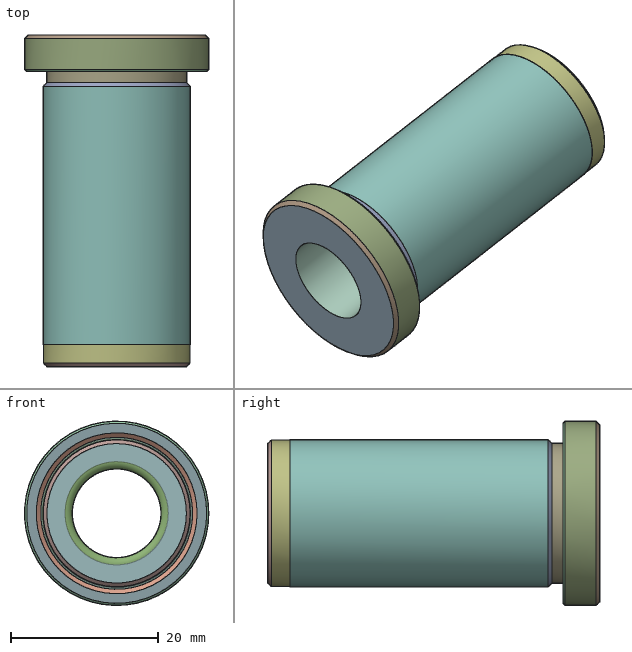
import cadquery as cq
import math


head_radius = 12.5
head_length = 5.0
head_top_chamfer = 0.5
head_underside_chamfer = 0.3

shank_radius = 10.0
shank_length = 40.0
shank_end_chamfer = 0.5
lead_radius = 9.95
lead_length = 3.0

neck_radius = 9.5
relief_length = 2.0
relief_depth = 0.6
relief_outer_radius = 10.9
relief_fillet = 0.6

bore_radius = 6.0
bore_entry_fillet = 1.0


def outer_body():
    """Solid of revolution with the bush's outside profile (radius, Y)."""
    shank_chamfer = shank_radius - neck_radius
    relief_floor_radius = relief_outer_radius - relief_depth
    fillet_midpoint = (
        neck_radius + relief_fillet * (1 - math.cos(math.pi / 4)),
        relief_depth - relief_fillet * (1 - math.sin(math.pi / 4)),
    )
    profile = (
        cq.Workplane("XY")
        .moveTo(0, -shank_length)
        .lineTo(lead_radius - shank_end_chamfer, -shank_length)
        .lineTo(lead_radius, -shank_length + shank_end_chamfer)
        .lineTo(lead_radius, -shank_length + lead_length)
        .lineTo(shank_radius, -shank_length + lead_length)
        .lineTo(shank_radius, -relief_length)
        .lineTo(neck_radius, -relief_length + shank_chamfer)
        .lineTo(neck_radius, relief_depth - relief_fillet)
        .threePointArc(fillet_midpoint, (neck_radius + relief_fillet, relief_depth))
        .lineTo(relief_floor_radius, relief_depth)
        .lineTo(relief_outer_radius, 0)
        .lineTo(head_radius - head_underside_chamfer, 0)
        .lineTo(head_radius, head_underside_chamfer)
        .lineTo(head_radius, head_length - head_top_chamfer)
        .lineTo(head_radius - head_top_chamfer, head_length)
        .lineTo(0, head_length)
        .close()
    )
    return profile.revolve(360, (0, 0, 0), (0, 1, 0))


def cut_bore(body):
    """Through bore along Y."""
    bore = (
        cq.Workplane("XZ", origin=(0, head_length, 0))
        .circle(bore_radius)
        .extrude(head_length + shank_length)
    )
    return body.cut(bore)


def round_bore_entry(body):
    """Rounded mouth of the bore at the free end of the shank."""
    mouth = body.faces("<Y").edges(cq.selectors.RadiusNthSelector(0))
    return mouth.fillet(bore_entry_fillet)


result = round_bore_entry(cut_bore(outer_body()))